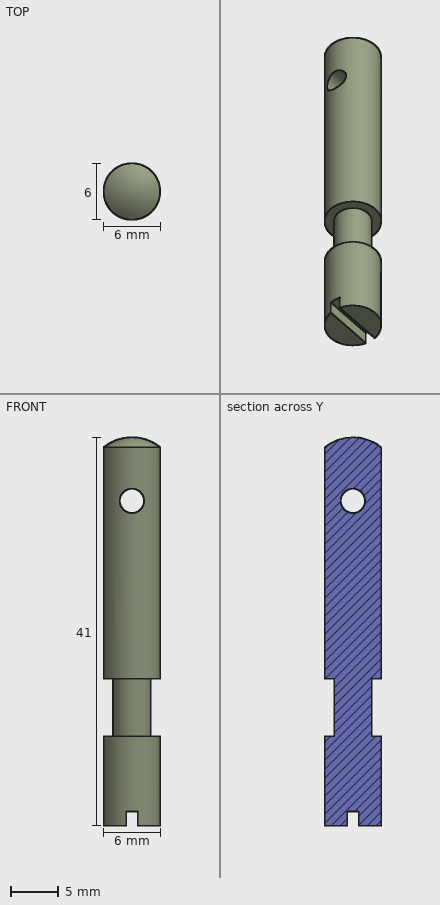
import cadquery as cq

total_length = 41.0
body_diameter = 6.0
neck_diameter = 4.0
foot_height = 9.47
neck_length = 6.03
dome_height = 1.05
cross_hole_diameter = 2.55
cross_hole_height = 34.28
slot_width = 1.2
slot_depth = 1.5

body_radius = body_diameter / 2
neck_radius = neck_diameter / 2
neck_top = foot_height + neck_length
dome_base = total_length - dome_height

dome_radius = (body_radius**2 + dome_height**2) / (2 * dome_height)
dome_center = total_length - dome_radius
arc_mid_x = body_radius / 2
arc_mid_z = dome_center + (dome_radius**2 - arc_mid_x**2) ** 0.5


def turned_pin():
    """Foot, neck and domed shank revolved about Z."""
    return (
        cq.Workplane("XZ")
        .lineTo(body_radius, 0)
        .lineTo(body_radius, foot_height)
        .lineTo(neck_radius, foot_height)
        .lineTo(neck_radius, neck_top)
        .lineTo(body_radius, neck_top)
        .lineTo(body_radius, dome_base)
        .threePointArc((arc_mid_x, arc_mid_z), (0, total_length))
        .close()
        .revolve(360, (0, 0, 0), (0, 1, 0))
    )


def cross_hole():
    """Cylinder along Y through the upper shank."""
    return (
        cq.Workplane("XZ")
        .center(0, cross_hole_height)
        .circle(cross_hole_diameter / 2)
        .extrude(body_diameter, both=True)
    )


def screwdriver_slot():
    """Slot along Y across the bottom face."""
    return cq.Workplane("XY").box(
        slot_width, 2 * body_diameter, slot_depth, centered=(True, True, False)
    )


result = turned_pin().cut(cross_hole()).cut(screwdriver_slot())